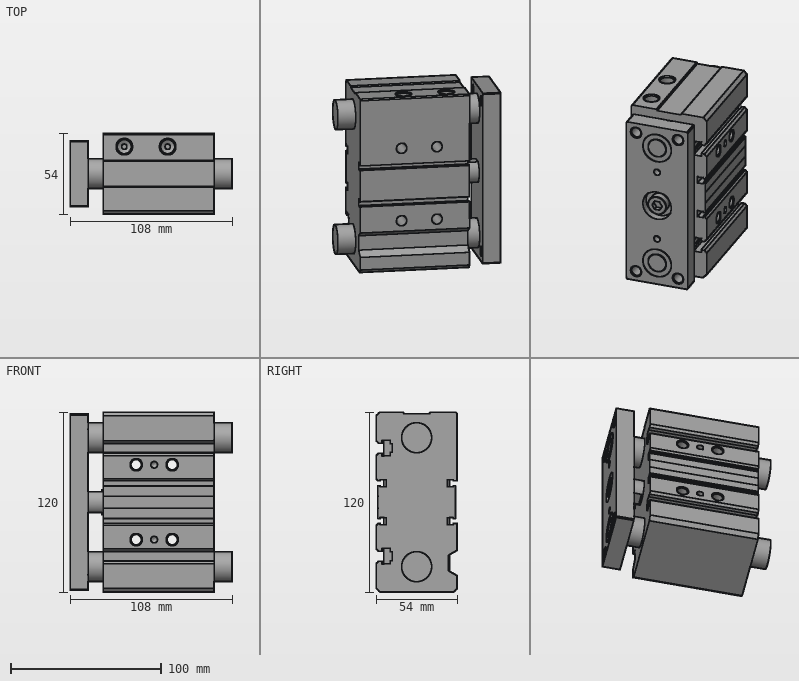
import cadquery as cq
import math


PLATE_THICKNESS = 12.0
HOUSING_FRONT = 22.0
HOUSING_BACK = 96.0
TOTAL_LENGTH = 108.0

HOUSING_HEIGHT = 120.0
HOUSING_DEPTH = 54.0
HALF_HEIGHT = HOUSING_HEIGHT / 2
HALF_DEPTH = HOUSING_DEPTH / 2
TOP_BACK_CHAMFER = 1.0
BOTTOM_FRONT_CHAMFER = 2.8
OTHER_CHAMFER = 2.4
TOP_RECESS_HALF_WIDTH = 9.0
TOP_RECESS_DEPTH = 1.0
TOP_RECESS_SLOPE_WIDTH = 0.6

LAND_SETBACK = 1.0
LAND_CHAMFER = 0.4
V_GROOVE_Z = 4.0
V_GROOVE_HALF_WIDTH = 0.6
V_GROOVE_DEPTH = 0.18

SENSOR_SLOT_Z = 12.6
SENSOR_THROAT_HALF = 1.5
SENSOR_WIDE_HALF = 2.3
SENSOR_LIP_DEPTH = 2.6
SENSOR_SLOT_DEPTH = 6.6
SENSOR_LIP_CHAMFER = 1.3

MOUNT_SLOT_Z = 36.0
MOUNT_THROAT_HALF = 3.2
MOUNT_WIDE_HALF = 5.2
MOUNT_LIP_CHAMFER = 1.7
MOUNT_LIP_DEPTH = 4.0
MOUNT_WIDE_DEPTH = 9.4
MOUNT_RELIEF_HALF = 2.9
MOUNT_RELIEF_DEPTH = 10.8

CHANNEL_Z = -40.5
CHANNEL_MOUTH_HALF = 8.4
CHANNEL_DEPTH = 6.0
CHANNEL_SLOPE = math.radians(30)

MOUNT_HOLE_Z = 25.0
MOUNT_HOLE_X = 56.0
MOUNT_HOLE_PITCH = 24.0
MOUNT_HOLE_DIAMETER = 7.0
MOUNT_HOLE_CHAMFER = 0.6
DOWEL_DIAMETER = 4.5
DOWEL_DEPTH = 6.0
PORT_X = (36.1, 65.0)
PORT_Y = 18.0
PORT_DIAMETER = 9.4
PORT_CHAMFER = 0.8
PORT_DEPTH = 9.6
PORT_PASSAGE_DIAMETER = 3.6
PORT_PASSAGE_DEPTH = 16.8
DRILL_HALF_ANGLE = math.radians(59)

ROD_SPACING = 85.9
GUIDE_ROD_Z = (-ROD_SPACING / 2, ROD_SPACING / 2)
GUIDE_ROD_DIAMETER = 20.0
PISTON_ROD_DIAMETER = 16.5
PISTON_ROD_END = 48.0
SPIGOT_DIAMETER = 13.0
SPIGOT_CHAMFER = 0.2
HEX_ACROSS_FLATS = 6.1
HEX_DEPTH = 3.6
WRENCH_FLAT_WIDTH = 14.0
WRENCH_FLAT_END = 21.0

PLATE_HEIGHT = 117.6
PLATE_DEPTH = 44.0
PLATE_CHAMFER = 0.7
PLATE_HOLE_Y = 15.0
PLATE_HOLE_Z = 51.8
PLATE_HOLE_DIAMETER = 6.7
PLATE_HOLE_CHAMFER = 0.6
COUNTERBORE_DIAMETER = 20.3
PISTON_COUNTERBORE_DEPTH = 6.0
GUIDE_COUNTERBORE_DEPTH = 0.4


def x_cylinder(diameter, start, end, z=0.0):
    """Cylinder along X between two X positions, at the given height."""
    return cq.Workplane("YZ", origin=(start, 0, z)).circle(diameter / 2).extrude(end - start)


def drill(diameter, depth, point, direction):
    """Blind hole cutter with a conical drill point, starting at a surface point."""
    radius = diameter / 2
    tip_length = radius / math.tan(DRILL_HALF_ANGLE)
    place, axis = cq.Vector(*point), cq.Vector(*direction)
    shank = cq.Solid.makeCylinder(radius, depth, place, axis)
    tip = cq.Solid.makeCone(radius, 0, tip_length, place + axis * depth, axis)
    return cq.Workplane(shank.fuse(tip))


def countersink(hole_diameter, chamfer, point, direction):
    """Cutter for a 45 degree chamfer at the mouth of a hole."""
    radius = hole_diameter / 2
    cone = cq.Solid.makeCone(radius + chamfer, radius, chamfer, cq.Vector(*point), cq.Vector(*direction))
    return cq.Workplane(cone)


def housing_prism(points):
    """Prism with the given (Y, Z) outline, running the full housing length."""
    plane = cq.Workplane("YZ", origin=(HOUSING_FRONT, 0, 0))
    return plane.polyline(points).close().extrude(HOUSING_BACK - HOUSING_FRONT)


def slot_cutter(half_section, center_z, side):
    """Cutter for a slot symmetric about center_z; half_section lists (depth, half width).

    side is -1 for the front face and +1 for the back face.
    """
    upper = [(side * (HALF_DEPTH - depth), center_z + half) for depth, half in half_section]
    lower = [(side * (HALF_DEPTH - depth), center_z - half) for depth, half in reversed(half_section)]
    return housing_prism(upper + lower)


def housing_blank():
    """Extruded housing outline with chamfered corners and the shallow recess on top."""
    recess_floor = TOP_RECESS_HALF_WIDTH - TOP_RECESS_SLOPE_WIDTH
    return housing_prism([
        (-HALF_DEPTH, -HALF_HEIGHT + BOTTOM_FRONT_CHAMFER),
        (-HALF_DEPTH + BOTTOM_FRONT_CHAMFER, -HALF_HEIGHT),
        (HALF_DEPTH - OTHER_CHAMFER, -HALF_HEIGHT),
        (HALF_DEPTH, -HALF_HEIGHT + OTHER_CHAMFER),
        (HALF_DEPTH, HALF_HEIGHT - TOP_BACK_CHAMFER),
        (HALF_DEPTH - TOP_BACK_CHAMFER, HALF_HEIGHT),
        (TOP_RECESS_HALF_WIDTH, HALF_HEIGHT),
        (recess_floor, HALF_HEIGHT - TOP_RECESS_DEPTH),
        (-recess_floor, HALF_HEIGHT - TOP_RECESS_DEPTH),
        (-TOP_RECESS_HALF_WIDTH, HALF_HEIGHT),
        (-HALF_DEPTH + OTHER_CHAMFER, HALF_HEIGHT),
        (-HALF_DEPTH, HALF_HEIGHT - OTHER_CHAMFER),
    ])


def cut_sensor_slots(body):
    """Set back the central lands and cut the sensor T slots on both faces."""
    land_half = SENSOR_SLOT_Z - SENSOR_THROAT_HALF
    slot_outer = SENSOR_SLOT_Z + SENSOR_THROAT_HALF
    throat_and_land = [
        (SENSOR_LIP_DEPTH, slot_outer),
        (SENSOR_LIP_DEPTH, land_half),
        (LAND_SETBACK + LAND_CHAMFER, land_half),
        (LAND_SETBACK, land_half - LAND_CHAMFER),
    ]
    front_mouth = [(0, slot_outer + SENSOR_LIP_CHAMFER), (SENSOR_LIP_CHAMFER, slot_outer)]
    back_mouth = [(0, slot_outer)]
    wide_section = [(SENSOR_LIP_DEPTH, SENSOR_WIDE_HALF), (SENSOR_SLOT_DEPTH, SENSOR_WIDE_HALF)]
    for side, mouth in ((-1, front_mouth), (1, back_mouth)):
        body = body.cut(slot_cutter(mouth + throat_and_land, 0, side))
        for z in (-SENSOR_SLOT_Z, SENSOR_SLOT_Z):
            body = body.cut(slot_cutter(wide_section, z, side))
    return body


def cut_v_grooves(body):
    """V grooves along the front central land."""
    mouth = -HALF_DEPTH + LAND_SETBACK
    apex = mouth + V_GROOVE_DEPTH
    for z in (-V_GROOVE_Z, V_GROOVE_Z):
        body = body.cut(housing_prism([
            (mouth, z - V_GROOVE_HALF_WIDTH),
            (apex, z),
            (mouth, z + V_GROOVE_HALF_WIDTH),
        ]))
    return body


def cut_mount_slots(body):
    """Large T slots on the front face, with a chamfered mouth and a relief in the floor."""
    section = [
        (0, MOUNT_THROAT_HALF + MOUNT_LIP_CHAMFER),
        (MOUNT_LIP_CHAMFER, MOUNT_THROAT_HALF),
        (MOUNT_LIP_DEPTH, MOUNT_THROAT_HALF),
        (MOUNT_LIP_DEPTH, MOUNT_WIDE_HALF),
        (MOUNT_WIDE_DEPTH, MOUNT_WIDE_HALF),
        (MOUNT_WIDE_DEPTH, MOUNT_RELIEF_HALF),
        (MOUNT_RELIEF_DEPTH, MOUNT_RELIEF_HALF),
    ]
    for z in (-MOUNT_SLOT_Z, MOUNT_SLOT_Z):
        body = body.cut(slot_cutter(section, z, -1))
    return body


def cut_channel(body):
    """Channel on the back face, narrowing toward its floor."""
    floor_half = CHANNEL_MOUTH_HALF - CHANNEL_DEPTH * math.tan(CHANNEL_SLOPE)
    section = [(0, CHANNEL_MOUTH_HALF), (CHANNEL_DEPTH, floor_half)]
    return body.cut(slot_cutter(section, CHANNEL_Z, 1))


def cut_mount_holes(body):
    """Through holes along Y, with a blind dowel hole between each pair."""
    for z in (-MOUNT_HOLE_Z, MOUNT_HOLE_Z):
        for offset in (-MOUNT_HOLE_PITCH / 2, MOUNT_HOLE_PITCH / 2):
            front_point = (MOUNT_HOLE_X + offset, -HALF_DEPTH, z)
            hole = cq.Solid.makeCylinder(
                MOUNT_HOLE_DIAMETER / 2, HOUSING_DEPTH, cq.Vector(*front_point), cq.Vector(0, 1, 0)
            )
            body = body.cut(cq.Workplane(hole))
            body = body.cut(countersink(MOUNT_HOLE_DIAMETER, MOUNT_HOLE_CHAMFER, front_point, (0, 1, 0)))
        dowel_point = (MOUNT_HOLE_X, -HALF_DEPTH, z)
        body = body.cut(drill(DOWEL_DIAMETER, DOWEL_DEPTH, dowel_point, (0, 1, 0)))
    return body


def cut_ports(body):
    """Air ports on the top face, each leading into a narrower passage."""
    down = (0, 0, -1)
    for x in PORT_X:
        mouth = (x, PORT_Y, HALF_HEIGHT)
        body = body.cut(drill(PORT_DIAMETER, PORT_DEPTH, mouth, down))
        body = body.cut(countersink(PORT_DIAMETER, PORT_CHAMFER, mouth, down))
        passage = cq.Solid.makeCylinder(
            PORT_PASSAGE_DIAMETER / 2, PORT_PASSAGE_DEPTH, cq.Vector(*mouth), cq.Vector(*down)
        )
        body = body.cut(cq.Workplane(passage))
    return body


def make_housing():
    """Housing with its slots, holes and rod bores."""
    body = housing_blank()
    body = cut_sensor_slots(body)
    body = cut_v_grooves(body)
    body = cut_mount_slots(body)
    body = cut_channel(body)
    body = cut_mount_holes(body)
    body = cut_ports(body)
    body = body.cut(x_cylinder(PISTON_ROD_DIAMETER, 0, PISTON_ROD_END))
    for z in GUIDE_ROD_Z:
        body = body.cut(x_cylinder(GUIDE_ROD_DIAMETER, 0, TOTAL_LENGTH, z))
    return body


def make_plate():
    """Tooling plate with tapped corner holes, dowel holes and counterbored rod seats."""
    plate = (
        cq.Workplane("YZ").rect(PLATE_DEPTH, PLATE_HEIGHT).extrude(PLATE_THICKNESS)
        .edges("|X").chamfer(PLATE_CHAMFER)
    )
    along_x = (1, 0, 0)
    for y in (-PLATE_HOLE_Y, PLATE_HOLE_Y):
        for z in (-PLATE_HOLE_Z, PLATE_HOLE_Z):
            plate = plate.cut(x_cylinder(PLATE_HOLE_DIAMETER, 0, PLATE_THICKNESS, z).translate((0, y, 0)))
            plate = plate.cut(countersink(PLATE_HOLE_DIAMETER, PLATE_HOLE_CHAMFER, (0, y, z), along_x))
    for z in (-MOUNT_HOLE_Z, MOUNT_HOLE_Z):
        plate = plate.cut(drill(DOWEL_DIAMETER, DOWEL_DEPTH, (0, 0, z), along_x))
    for z in (0, *GUIDE_ROD_Z):
        depth = PISTON_COUNTERBORE_DEPTH if z == 0 else GUIDE_COUNTERBORE_DEPTH
        plate = plate.cut(x_cylinder(COUNTERBORE_DIAMETER, 0, depth, z))
        plate = plate.cut(x_cylinder(SPIGOT_DIAMETER, 0, PLATE_THICKNESS, z))
    return plate


def make_rod(diameter, end, z):
    """Rod seated on the back of the plate, with a chamfered spigot through the plate."""
    spigot = x_cylinder(SPIGOT_DIAMETER, 0, PLATE_THICKNESS, z).faces("<X").chamfer(SPIGOT_CHAMFER)
    return spigot.union(x_cylinder(diameter, PLATE_THICKNESS, end, z))


def make_piston_rod():
    """Piston rod with a hexagon socket in its spigot end and wrench flats facing up and down."""
    across_corners = HEX_ACROSS_FLATS / math.cos(math.radians(30))
    socket = cq.Workplane("YZ").polygon(6, across_corners).extrude(HEX_DEPTH)
    rod = make_rod(PISTON_ROD_DIAMETER, PISTON_ROD_END, 0).cut(socket)
    flat_length = WRENCH_FLAT_END - PLATE_THICKNESS
    for side in (-1, 1):
        above_flat = (
            cq.Workplane("YZ", origin=(PLATE_THICKNESS, 0, side * WRENCH_FLAT_WIDTH))
            .rect(PISTON_ROD_DIAMETER, WRENCH_FLAT_WIDTH).extrude(flat_length)
        )
        rod = rod.cut(above_flat)
    return rod


housing = make_housing()
plate = make_plate()
piston_rod = make_piston_rod()
guide_rods = [make_rod(GUIDE_ROD_DIAMETER, TOTAL_LENGTH, z) for z in GUIDE_ROD_Z]

result = cq.Compound.makeCompound([
    housing.val(),
    plate.val(),
    piston_rod.val(),
    *[rod.val() for rod in guide_rods],
])